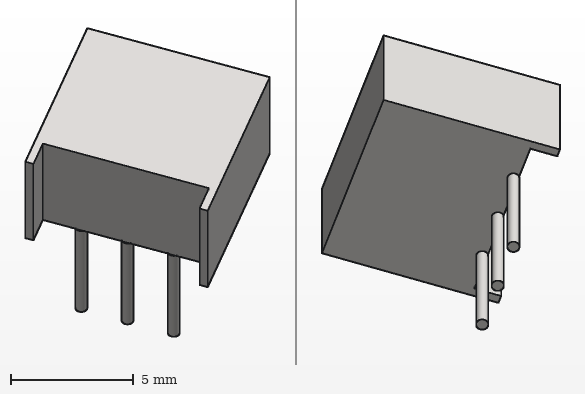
import cadquery as cq

housing_width = 7.9
housing_depth = 7.6
housing_height = 4.81

wall_thickness = 0.36
recess_depth = 1.16

total_height = 9.9
pin_length = total_height - housing_height
pin_diameter = 0.5
pin_count = 3
pin_pitch = 2.0
pin_setback = 1.36


def make_housing():
    """Block standing on Z = 0 with its front ends at Y = 0 and an open front recess."""
    block = cq.Workplane("XY").box(
        housing_width, housing_depth, housing_height, centered=(True, False, False)
    )
    recess_width = housing_width - 2 * wall_thickness
    recess = cq.Workplane("XY").box(
        recess_width, recess_depth, housing_height, centered=(True, False, False)
    )
    return block.cut(recess)


def make_pin(x):
    """Round pin that butts against the housing underside at the given X."""
    return (
        cq.Workplane("XY")
        .center(x, pin_setback)
        .circle(pin_diameter / 2)
        .extrude(-pin_length)
    )


housing = make_housing()

pins = []
for index in range(pin_count):
    pin_x = (index - (pin_count - 1) / 2) * pin_pitch
    pins.append(make_pin(pin_x))

result = cq.Compound.makeCompound([housing.val(), *[pin.val() for pin in pins]])